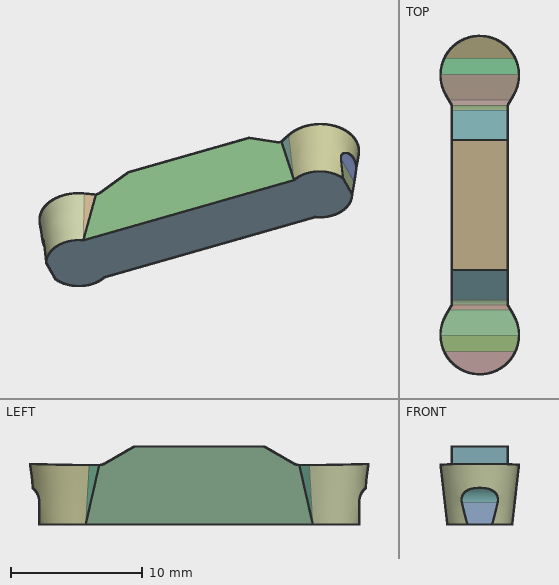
import cadquery as cq
import math

length = 25.81
height = 5.97
body_width = 4.3
half_length = length / 2
margin = 1.0

floor_height = 4.56
lip_slope = math.radians(1.5)
lip_end = 1.73
groove_middle = 2.96
groove_end = 4.91
ramp_top = 7.95
ramp_angle = math.radians(30)
ramp_blend_radius = 0.75

inner_arc_rise = (groove_end - groove_middle) * math.tan(lip_slope / 4)
outer_arc_rise = (groove_middle - lip_end) * math.tan(lip_slope * 3 / 4)
lip_rise = lip_end * math.tan(lip_slope)
tip_rise = inner_arc_rise + outer_arc_rise + lip_rise

head_radius = 3.0
head_taper = 6.5
flank_angle = math.radians(30)
taper_slope = math.tan(math.radians(head_taper))
head_centre = half_length - head_radius - tip_rise * taper_slope

notch_depth = 0.71
notch_flat_height = 1.7
notch_radius = 1.5


def make_body():
    """Half of the straight bar, from the middle of the part to the head centre."""
    return cq.Workplane("XY").box(body_width, head_centre, height, centered=(True, False, False))


def make_head():
    """Tapered round head with two tangent flanks that converge inside the bar."""
    blank_height = floor_height + margin
    blank_radius = head_radius + margin * taper_slope
    tangent_x = blank_radius * math.cos(flank_angle)
    tangent_y = head_centre - blank_radius * math.sin(flank_angle)
    apex_y = head_centre - blank_radius / math.sin(flank_angle)
    return (
        cq.Workplane("XY", origin=(0, 0, blank_height))
        .moveTo(0, apex_y)
        .lineTo(tangent_x, tangent_y)
        .threePointArc((0, head_centre + blank_radius), (-tangent_x, tangent_y))
        .close()
        .extrude(-blank_height, taper=head_taper)
    )


def make_top_envelope():
    """Solid under the top: flat crown, ramp, blended corner, floor and raised lip."""
    ramp_corner = ramp_top - (height - floor_height) / math.tan(ramp_angle)
    blend_length = ramp_blend_radius * math.tan(ramp_angle / 2)
    blend_start = ramp_corner + blend_length * math.cos(ramp_angle)
    blend_start_height = floor_height + blend_length * math.sin(ramp_angle)
    blend_end = ramp_corner - blend_length

    groove_middle_height = floor_height + inner_arc_rise
    lip_end_height = groove_middle_height + outer_arc_rise
    outer_y = half_length + margin
    outer_height = floor_height + tip_rise + margin * math.tan(lip_slope)

    return (
        cq.Workplane("YZ")
        .lineTo(0, height)
        .lineTo(half_length - ramp_top, height)
        .lineTo(half_length - blend_start, blend_start_height)
        .tangentArcPoint((half_length - blend_end, floor_height), relative=False)
        .lineTo(half_length - groove_end, floor_height)
        .tangentArcPoint((half_length - groove_middle, groove_middle_height), relative=False)
        .tangentArcPoint((half_length - lip_end, lip_end_height), relative=False)
        .lineTo(outer_y, outer_height)
        .lineTo(outer_y, 0)
        .close()
        .extrude(head_radius + margin, both=True)
    )


def make_notch():
    """Cutter for the upright flat under the tip and the concave curve above it."""
    flat_y = half_length - notch_depth
    curve_centre_y = flat_y + notch_radius
    curve_top = notch_flat_height + notch_radius
    curve_middle = notch_radius * math.sin(math.radians(45))
    return (
        cq.Workplane("YZ")
        .moveTo(flat_y, 0)
        .lineTo(flat_y, notch_flat_height)
        .threePointArc(
            (curve_centre_y - curve_middle, notch_flat_height + curve_middle),
            (curve_centre_y, curve_top),
        )
        .lineTo(curve_centre_y, 0)
        .close()
        .extrude(head_radius, both=True)
    )


half = make_body().union(make_head()).intersect(make_top_envelope()).cut(make_notch())
result = half.union(half.mirror("XZ")).clean()